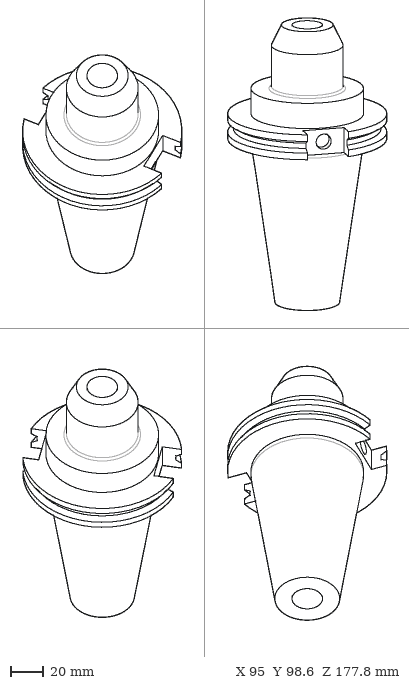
import cadquery as cq

total_height = 177.8
nose_cone_height = 13.0
boss_top = 137.0
flange_top = 120.9
flange_thickness = 16.0
taper_land = 3.0

taper_end_radius = 20.1
boss_radius = 34.8
flange_radius = 49.3
nose_radius = 22.2
nose_tip_radius = 16.0
nose_fillet = 1.5
bore_radius = 9.5

groove_floor_radius = 45.7
groove_mouth = 7.5
groove_floor = 3.4

slot_width = 26.3
slot_floor_left = 37.5
slot_floor_right = 35.2
slot_hole_radius = 4.8
slot_hole_depth = 5.0

flange_bottom = flange_top - flange_thickness
flange_middle = flange_top - flange_thickness / 2


def turned_body():
    """Taper, flange, boss and nose as one revolved half-section."""
    profile = [
        (0, 0),
        (taper_end_radius, 0),
        (boss_radius, flange_bottom - taper_land),
        (boss_radius, flange_bottom),
        (flange_radius, flange_bottom),
        (flange_radius, flange_middle - groove_mouth / 2),
        (groove_floor_radius, flange_middle - groove_floor / 2),
        (groove_floor_radius, flange_middle + groove_floor / 2),
        (flange_radius, flange_middle + groove_mouth / 2),
        (flange_radius, flange_top),
        (boss_radius, flange_top),
        (boss_radius, boss_top),
        (nose_radius, boss_top),
        (nose_radius, total_height - nose_cone_height),
        (nose_tip_radius, total_height),
        (0, total_height),
    ]
    body = cq.Workplane("XZ").polyline(profile).close().revolve(360, (0, 0), (0, 1))
    boss_top_face = body.faces(cq.selectors.NearestToPointSelector((0, 0, boss_top)))
    nose_root = boss_top_face.edges(cq.selectors.RadiusNthSelector(0))
    return nose_root.fillet(nose_fillet)


def drive_slot(floor_distance, side):
    """Cutter for a flange slot; side is -1 for -X and +1 for +X."""
    return (
        cq.Workplane("XY")
        .box(flange_radius, slot_width, flange_thickness)
        .translate((side * (floor_distance + flange_radius / 2), 0, flange_middle))
    )


def slot_hole():
    """Cutter for the radial blind hole in the floor of the -X slot."""
    return (
        cq.Workplane("YZ", origin=(-slot_floor_left, 0, flange_middle))
        .circle(slot_hole_radius)
        .extrude(slot_hole_depth)
    )


bore = cq.Workplane("XY").circle(bore_radius).extrude(total_height)

result = (
    turned_body()
    .cut(bore)
    .cut(drive_slot(slot_floor_left, -1))
    .cut(drive_slot(slot_floor_right, 1))
    .cut(slot_hole())
)